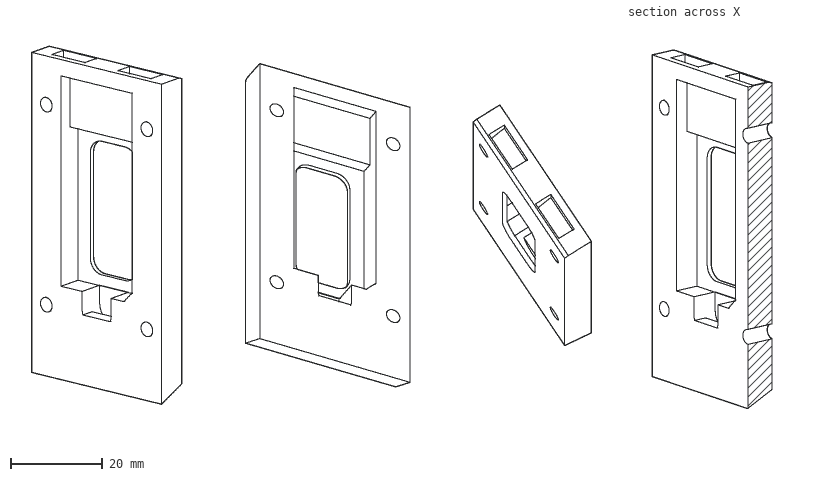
import cadquery as cq

width = 37.0
thickness = 7.0
height = 73.4
bottom_bevel_rise = 3.1
top_bevel_run = 0.95
top_bevel_drop = 0.4

recess_half_width = 10.1
recess_top = 69.7
recess_bottom = 21.45
recess_depth = 5.8
recess_corner_chamfer = 2.4
shelf_bottom = 57.3
shelf_depth = 3.0

window_width = 13.2
window_top = 54.6
window_bottom = 24.0
window_radius = 3.3

notch_radius = 4.1
notch_center_z = recess_bottom - 4.1
notch_depth = 6.0
ledge_z = recess_bottom - 5.35
ledge_depth = 3.15

hole_diameter = 3.3
hole_x = 14.3
hole_heights = (16.4, 62.25)

pocket_width = 9.4
pocket_x = 9.4
pocket_front = 1.7
pocket_back = 5.65
pocket_front_depth = 2.6
pocket_back_depth = 4.8


def front_prism(outline, depth):
    """Extrude an XZ outline from the front face back into the plate."""
    return outline.close().extrude(-depth)


def side_prism(points, length):
    """Extrude a YZ outline along X, centred on X = 0."""
    return cq.Workplane("YZ").polyline(points).close().extrude(length / 2, both=True)


def make_plate():
    return side_prism(
        [
            (0, 0),
            (thickness, bottom_bevel_rise),
            (thickness, height - top_bevel_drop),
            (thickness - top_bevel_run, height),
            (0, height),
        ],
        width,
    )


def make_recess():
    """Deep recess with one chamfered corner and a shallower shelf above it."""
    shallow = front_prism(
        cq.Workplane("XZ").polyline(
            [
                (-recess_half_width, shelf_bottom),
                (recess_half_width, shelf_bottom),
                (recess_half_width, recess_top),
                (-recess_half_width, recess_top),
            ]
        ),
        shelf_depth,
    )
    deep = front_prism(
        cq.Workplane("XZ").polyline(
            [
                (-recess_half_width, recess_bottom),
                (recess_half_width - recess_corner_chamfer, recess_bottom),
                (recess_half_width, recess_bottom + recess_corner_chamfer),
                (recess_half_width, shelf_bottom),
                (-recess_half_width, shelf_bottom),
            ]
        ),
        recess_depth,
    )
    return deep.union(shallow)


def make_window():
    return (
        cq.Workplane("XZ")
        .center(0, (window_top + window_bottom) / 2)
        .rect(window_width, window_top - window_bottom)
        .extrude(-thickness)
        .edges("|Y")
        .fillet(window_radius)
    )


def make_notch():
    notch = front_prism(
        cq.Workplane("XZ")
        .moveTo(-notch_radius, recess_bottom)
        .lineTo(-notch_radius, notch_center_z)
        .threePointArc((0, notch_center_z - notch_radius), (notch_radius, notch_center_z))
        .lineTo(notch_radius, recess_bottom),
        notch_depth,
    )
    ledge = side_prism(
        [(0, 0), (ledge_depth, 0), (ledge_depth, ledge_z), (0, ledge_z)],
        2 * notch_radius,
    )
    return notch.cut(ledge)


def make_screw_holes():
    centers = [(x, z) for x in (-hole_x, hole_x) for z in hole_heights]
    return cq.Workplane("XZ").pushPoints(centers).circle(hole_diameter / 2).extrude(-thickness)


def make_top_pocket(center_x):
    """Pocket open at the top, with its floor falling towards the back."""
    return side_prism(
        [
            (pocket_front, height),
            (pocket_front, height - pocket_front_depth),
            (pocket_back, height - pocket_back_depth),
            (pocket_back, height),
        ],
        pocket_width,
    ).translate((center_x, 0, 0))


result = make_plate().cut(make_recess()).cut(make_window()).cut(make_notch()).cut(make_screw_holes())
for side in (-1, 1):
    result = result.cut(make_top_pocket(side * pocket_x))